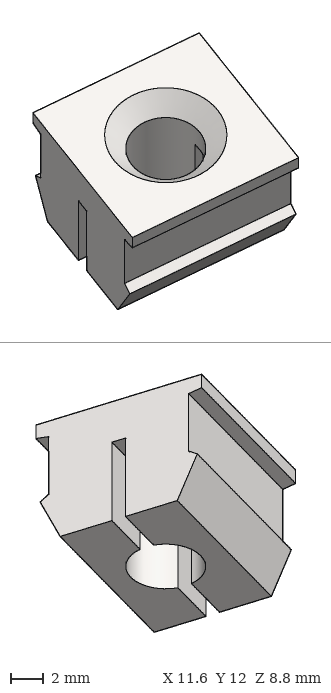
import cadquery as cq

length = 12.0
height = 8.8

flange_half_width = 5.8
flange_edge_thickness = 1.0
flange_root_thickness = 1.15

body_half_width = 4.9
barb_half_width = 5.5
barb_root_z = 3.4
barb_tip_z = 3.0
foot_half_width = 4.1

slot_width = 0.95
slot_height = 5.8

hole_diameter = 4.9
countersink_diameter = 7.5
countersink_angle = 90.0


def make_body():
    """Symmetric clip section, extruded along Y about the centre."""
    right_side = [
        (foot_half_width, 0),
        (barb_half_width, barb_tip_z),
        (body_half_width, barb_root_z),
        (body_half_width, height - flange_root_thickness),
        (flange_half_width, height - flange_edge_thickness),
        (flange_half_width, height),
    ]
    left_side = [(-x, z) for x, z in reversed(right_side)]
    outline = cq.Workplane("XZ").polyline(right_side + left_side).close()
    return outline.extrude(length / 2, both=True)


def make_slot():
    """Full-length slot, open at the bottom."""
    return cq.Workplane("XY").box(slot_width, length, slot_height, centered=(True, True, False))


def drill_hole(body):
    """Vertical through hole, countersunk from the top face."""
    top_face = body.faces(">Z").workplane(origin=(0, 0, height))
    return top_face.cskHole(hole_diameter, countersink_diameter, countersink_angle)


result = drill_hole(make_body()).cut(make_slot())